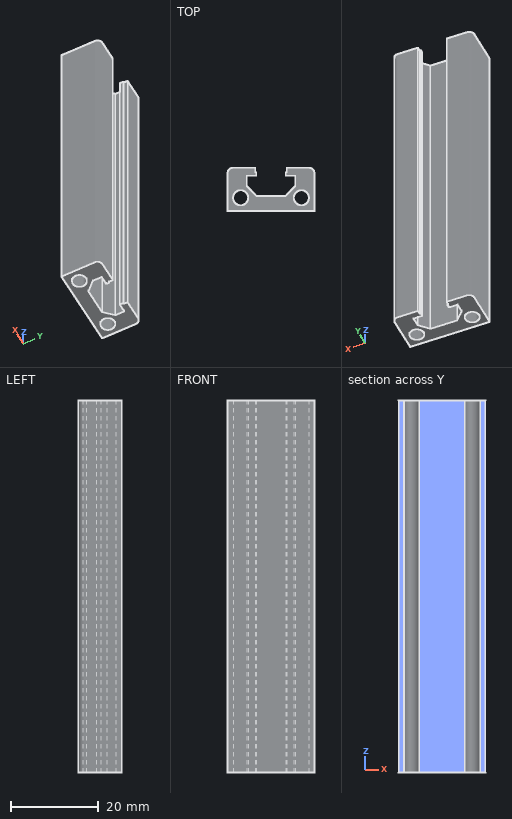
import cadquery as cq

width = 19.8
depth = 9.9
length = 84.7
corner_radius = 1.3

mouth_half_width = 3.55
lip_half_width = 3.3
lip_step_depth = 1.0
lip_thickness = 1.9
cavity_half_width = 5.5
floor_half_width = 3.3
floor_thickness = 3.5
cavity_wall_depth = 4.15

hole_diameter = 3.4
hole_spacing = 13.8
hole_height = 3.05


def make_body():
    """Bar with its back face on Y = 0 and rounded +Y corners."""
    body = cq.Workplane("XY").box(width, depth, length, centered=(True, False, False))
    return body.edges("|Z and >Y").fillet(corner_radius)


def make_slot():
    """Stepped mouth and wider cavity that tapers down to its floor."""
    step_y = depth - lip_step_depth
    lip_y = depth - lip_thickness
    taper_y = depth - cavity_wall_depth
    right_side = [
        (mouth_half_width, depth),
        (mouth_half_width, step_y),
        (lip_half_width, step_y),
        (lip_half_width, lip_y),
        (cavity_half_width, lip_y),
        (cavity_half_width, taper_y),
        (floor_half_width, floor_thickness),
    ]
    left_side = [(-x, y) for x, y in reversed(right_side)]
    return cq.Workplane("XY").polyline(right_side + left_side).close().extrude(length)


def make_holes():
    """Pair of through holes along the rail."""
    centers = [(side * hole_spacing / 2, hole_height) for side in (-1, 1)]
    return cq.Workplane("XY").pushPoints(centers).circle(hole_diameter / 2).extrude(length)


result = make_body().cut(make_slot()).cut(make_holes())